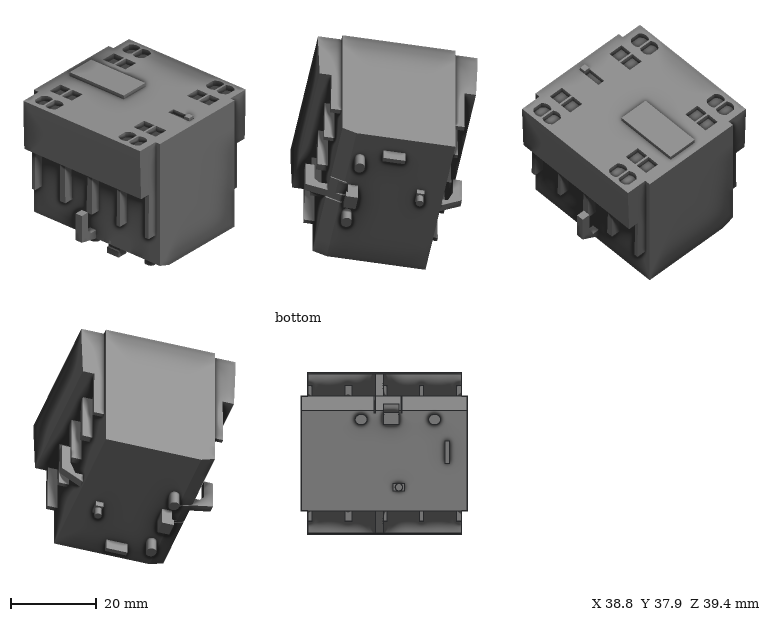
import cadquery as cq

body_x = 38.8
body_y = 26.83
body_top = 34.12
chamfer_y = 3.35
chamfer_z = 1.2

terminal_left = -17.9
terminal_right = 18.05
terminal_span = 37.9
terminal_reach = terminal_span / 2
terminal_reach_bottom = 18.6
terminal_bottom = 21.0
terminal_break = 31.8

rib_reach_top = 15.78
rib_reach_foot = 15.9
rib_foot = 9.0
ribs = [
    (terminal_left, -16.92, terminal_left, -16.92),
    (-9.25, -7.9, -9.25, -7.57),
    (-0.75, 0.6, -1.1, 0.6),
    (8.25, 9.25, 8.25, 9.25),
    (16.92, terminal_right, 16.92, terminal_right),
]

pocket_depth = 1.45
pocket_gap = 0.5
pair_x = 12.9
pocket_shift = 0.08
square_x = 3.2
square_y = 3.85
square_row_y = 9.6
round_radius = 2.15
round_offset = 1.58
round_row_y = 15.7
round_flat_width = 3.08

plate_left, plate_right = -17.25, -0.55
plate_front, plate_back = -3.1, 4.6
plate_height = 1.03
slot_left, slot_right = 11.2, 17.75
slot_width = 1.85
slot_depth = 1.2
lever_left, lever_right = 16.05, 17.6
lever_width = 1.55
lever_height = 0.7

clip_left, clip_right = -2.1, -0.2
clip_inner = 16.4
clip_outer = 18.6
clip_arm_inner = 15.23
clip_arm_top = 3.47
clip_root = 1.22
clip_overlap = 1.2
front_clip_top, front_clip_bend, front_clip_heel = 9.5, 4.6, 2.3
back_clip_top, back_clip_bend, back_clip_heel = 11.15, 6.3, 4.15

slide_left, slide_right = clip_left, 3.9
slide_left_gap = 0.3
slide_right_gap = 0.25
slide_top = 2.17
slide_groove_depth = 3.95

hook_left, hook_right = -0.1, 3.45
hook_stem_front, hook_back = -9.1, -6.75
hook_foot_front = -9.63
hook_foot_top = -2.7
hook_bottom = -4.3
hook_notch_height = 0.5
plug_length = 2.8
plug_width = 2.35
plug_depth = 3.3
plug_xs = (-5.4, 11.75)
plug_y = -7.93
pin_x, pin_y = 3.45, 7.9
pin_diameter = 1.75
collar_x = 2.7
collar_depth = 1.35
blade_left, blade_right = 14.25, 15.3
blade_front, blade_back = -2.9, 2.3
blade_depth = 2.7


def block(x_range, y_range, z_range):
    """Box between two limits along each axis."""
    (x0, x1), (y0, y1), (z0, z1) = x_range, y_range, z_range
    return cq.Workplane("XY").box(x1 - x0, y1 - y0, z1 - z0, centered=False).translate((x0, y0, z0))


def side_extrusion(points, left, right):
    """(Y, Z) outline extruded along X from left to right."""
    return cq.Workplane("YZ").polyline(points).close().extrude(right - left).translate((left, 0, 0))


def main_body():
    half_y = body_y / 2
    outline = [
        (-half_y, chamfer_z),
        (-half_y + chamfer_y, 0),
        (half_y, 0),
        (half_y, body_top),
        (-half_y, body_top),
    ]
    return side_extrusion(outline, -body_x / 2, body_x / 2)


def terminal_bar():
    """Front and back terminal blocks as one bar through the body, tapering below the break line."""
    outline = [
        (-terminal_reach_bottom, terminal_bottom),
        (terminal_reach_bottom, terminal_bottom),
        (terminal_reach, terminal_break),
        (terminal_reach, body_top),
        (-terminal_reach, body_top),
        (-terminal_reach, terminal_break),
    ]
    return side_extrusion(outline, terminal_left, terminal_right)


def rib_bar(top_left, top_right, foot_left, foot_right):
    """Matching front and back ribs as one bar: front outline trimmed to the sloping rib faces."""
    front_outline = [
        (top_left, terminal_bottom),
        (top_right, terminal_bottom),
        (foot_right, rib_foot),
        (foot_left, rib_foot),
    ]
    side_outline = [
        (-rib_reach_foot, rib_foot),
        (rib_reach_foot, rib_foot),
        (rib_reach_top, terminal_bottom),
        (-rib_reach_top, terminal_bottom),
    ]
    bar = cq.Workplane("XZ").polyline(front_outline).close().extrude(terminal_reach, both=True)
    return bar.intersect(side_extrusion(side_outline, terminal_left, terminal_right))


def clip(side, top, bend, heel):
    """Upturned clip; side is -1 at the front and 1 at the back."""
    half_y = body_y / 2
    outline = [
        (half_y - clip_overlap, clip_arm_top),
        (clip_arm_inner, clip_arm_top),
        (clip_inner, bend),
        (clip_inner, top),
        (clip_outer, top),
        (clip_outer, heel),
        (half_y, clip_root),
        (half_y - clip_overlap, clip_root),
    ]
    return side_extrusion([(side * y, z) for y, z in outline], clip_left, clip_right)


def square_pocket(side):
    """Rectangular pocket on one side of a pair's centre line."""
    pocket_x = side * (pocket_gap + square_x) / 2
    return cq.Workplane("XY").box(square_x, square_y, pocket_depth).translate((pocket_x, 0, 0))


def round_pocket(side):
    """Circular pocket with both sides flattened, on one side of a pair's centre line."""
    disc = cq.Workplane("XY").cylinder(pocket_depth, round_radius).translate((side * round_offset, 0, 0))
    flats = cq.Workplane("XY").box(round_flat_width, 2 * round_radius, pocket_depth)
    return disc.intersect(flats.translate((side * (pocket_gap + round_flat_width) / 2, 0, 0)))


def cut_wiring_pockets(part):
    pocket_z = body_top - pocket_depth / 2
    for pocket, row_y in ((square_pocket, square_row_y), (round_pocket, round_row_y)):
        for x in (-pair_x, pair_x):
            for y in (-row_y, row_y):
                for side in (-1, 1):
                    place = (x + pocket_shift, y + pocket_shift, pocket_z)
                    part = part.cut(pocket(side).translate(place))
    return part


def add_top_details(part):
    plate = block((plate_left, plate_right), (plate_front, plate_back), (body_top, body_top + plate_height))
    slot_floor = body_top - slot_depth
    slot = block((slot_left, slot_right), (-slot_width / 2, slot_width / 2), (slot_floor, body_top))
    lever = block(
        (lever_left, lever_right),
        (-lever_width / 2, lever_width / 2),
        (slot_floor, body_top + lever_height),
    )
    return part.union(plate).cut(slot).union(lever)


def cut_slide_grooves(part):
    groove_y = (-body_y / 2, -body_y / 2 + slide_groove_depth)
    for groove_x in (
        (slide_left - slide_left_gap, slide_left),
        (slide_right, slide_right + slide_right_gap),
    ):
        part = part.cut(block(groove_x, groove_y, (0, slide_top)))
    return part


def add_hook(part):
    """L-shaped hook, with a notch in the chamfer that bares the top of its stem."""
    hook_x = (hook_left, hook_right)
    notch = block(hook_x, (-body_y / 2, hook_stem_front), (0, hook_notch_height))
    stem = block(hook_x, (hook_stem_front, hook_back), (hook_bottom, 0))
    foot = block(hook_x, (hook_foot_front, hook_back), (hook_bottom, hook_foot_top))
    return part.cut(notch).union(stem).union(foot)


def add_contacts(part):
    underside = cq.Workplane("XY")
    plugs = underside.pushPoints([(x, plug_y) for x in plug_xs]).slot2D(plug_length, plug_width)
    part = part.union(plugs.extrude(-plug_depth))
    pin_base = underside.center(pin_x, pin_y)
    part = part.union(pin_base.circle(pin_diameter / 2).extrude(-plug_depth))
    part = part.union(pin_base.rect(collar_x, pin_diameter).extrude(-collar_depth))
    return part.union(block((blade_left, blade_right), (blade_front, blade_back), (-blade_depth, 0)))


result = main_body().union(terminal_bar())
for rib in ribs:
    result = result.union(rib_bar(*rib))
result = result.union(clip(1, back_clip_top, back_clip_bend, back_clip_heel))
result = cut_wiring_pockets(result)
result = add_top_details(result)
result = cut_slide_grooves(result)
result = result.union(clip(-1, front_clip_top, front_clip_bend, front_clip_heel))
result = add_hook(result)
result = add_contacts(result)